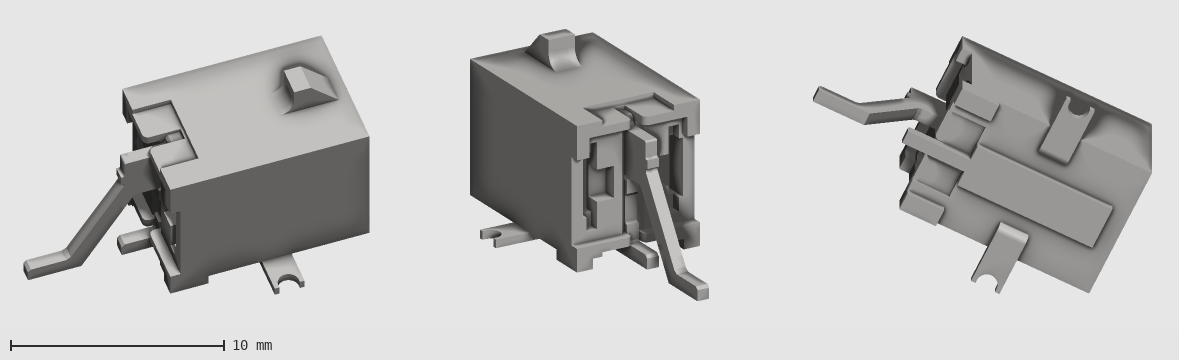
import cadquery as cq
import math


overall_length = 15.9

body_width = 6.68
body_length = 9.9
body_bottom = 0.52
body_top = 7.38

face_setback = 0.51
lower_band_top = 1.2
upper_band_side_bottom = 5.65
upper_band_bottom = 6.65
band_step_x = 2.65

recess_width = 3.88
recess_length = 1.91
recess_floor = 7.08
recess_ceiling = 0.75

terminal_thickness = 0.64
slot_end = 1.81
slot_flare = 0.29

leg_inner_x = 2.46
rail_width = 2.13
rail_back = 8.95

pocket_inner_x = recess_width / 2
pocket_outer_x = 2.51
pocket_bottom = 1.72
pocket_top = 6.12
pocket_depth = 0.57
clip_slot_bottom = 2.43
clip_slot_top = 5.4
clip_slot_depth = 1.0
side_slot_inner_x = 2.37
side_slot_outer_x = 2.72
side_slot_depth = 1.27
notch_inner_x = 1.02
notch_bottom = 3.1
notch_top = 4.74
notch_depth = 0.81

tab_thickness = 0.43
tab_span = 10.1
tab_tip_x = tab_span / 2
tab_center_y = 5.33
tab_length = 1.48
tab_upright_top = 1.27
tab_bend_radius = 0.4
tab_notch_radius = 0.51
tab_notch_center_inset = 0.16

actuator_width = 1.43
actuator_back = 9.32
actuator_crest_back = 7.92
actuator_crest_front = 7.09
actuator_top = 8.76
actuator_fillet = 0.73

shoulder_top = 6.88
shoulder_back = 1.73
shoulder_front = 1.2
shoulder_step_y = 1.05
shoulder_bevel = 0.15
arm_top = 6.4
arm_bottom = 4.05
nose_y = -1.2
nose_radius = 0.1
bump_y = -1.37
bump_top = 5.5
bump_bottom = 5.07
bump_fillet = 0.1
leg_start_y = -1.27
leg_start_z = 4.79
neck_y = -1.22
neck_z = 4.95
leg_end_y = -3.86
leg_end_z = 0.83
foot_start_y = -4.09
heel_y = -3.34
under_arm_y = -0.59
under_leg_y = -0.8
under_leg_z = 3.91
upper_tip = body_length - overall_length

post_top = 3.85
relief_y = 0.68
relief_top = 3.18
relief_top_bevel = 0.17
relief_bottom = 1.62
relief_fillet = 0.11
post_foot_bevel = 0.1
lower_tip = -1.34

foot_height = 0.7
foot_chamfer = 0.15

arc_middle = 1 - math.sqrt(0.5)


def box(x0, x1, y0, y1, z0, z1):
    return cq.Workplane("XY").box(x1 - x0, y1 - y0, z1 - z0, centered=False).translate((x0, y0, z0))


def centered_box(width, y0, y1, z0, z1):
    return box(-width / 2, width / 2, y0, y1, z0, z1)


def extrude_across(profile, width):
    """Extrude a closed YZ profile by width, centered on x = 0."""
    return profile.extrude(width / 2, both=True)


def both_sides(solid):
    return solid.union(solid.mirror("YZ"))


def make_housing():
    housing = centered_box(body_width, 0, body_length, body_bottom, body_top)
    legs = box(leg_inner_x, body_width / 2, 0, recess_length, 0, body_bottom)
    rail = centered_box(rail_width, recess_length, rail_back, 0, body_bottom)
    housing = housing.union(both_sides(legs)).union(rail)

    housing = housing.cut(centered_box(body_width, 0, face_setback, lower_band_top, upper_band_side_bottom))
    housing = housing.cut(centered_box(2 * band_step_x, 0, face_setback, lower_band_top, upper_band_bottom))
    housing = housing.cut(centered_box(recess_width, 0, recess_length, recess_floor, body_top))
    return housing.cut(centered_box(recess_width, 0, recess_length, body_bottom, recess_ceiling))


def make_slot():
    """Slot with rounded edges at the two bands and bevelled edges at the set-back face."""
    half = terminal_thickness / 2
    mouth = half + slot_flare
    mid = half + slot_flare * arc_middle
    arc_y = slot_flare * arc_middle
    rounded = (
        cq.Workplane("XY", origin=(0, 0, recess_ceiling))
        .moveTo(-mouth, 0)
        .threePointArc((-mid, arc_y), (-half, slot_flare))
        .lineTo(-half, slot_end)
        .lineTo(half, slot_end)
        .lineTo(half, slot_flare)
        .threePointArc((mid, arc_y), (mouth, 0))
        .close()
        .extrude(recess_floor - recess_ceiling)
    )
    bevel = (
        cq.Workplane("XY", origin=(0, 0, lower_band_top))
        .polyline([(-mouth, face_setback), (-half, face_setback + slot_flare),
                   (half, face_setback + slot_flare), (mouth, face_setback)])
        .close()
        .extrude(upper_band_bottom - lower_band_top)
    )
    return rounded.union(bevel)


def make_pockets():
    def pocket(x0, x1, depth, z0, z1):
        return box(x0, x1, face_setback, face_setback + depth, z0, z1)

    pockets = pocket(pocket_inner_x, pocket_outer_x, pocket_depth, pocket_bottom, pocket_top)
    pockets = pockets.union(
        pocket(pocket_inner_x, side_slot_inner_x, clip_slot_depth, clip_slot_bottom, clip_slot_top))
    pockets = pockets.union(
        pocket(side_slot_inner_x, side_slot_outer_x, side_slot_depth, clip_slot_bottom, clip_slot_top))
    pockets = pockets.union(pocket(notch_inner_x, pocket_inner_x, notch_depth, notch_bottom, notch_top))
    return both_sides(pockets)


def make_tabs():
    y0 = tab_center_y - tab_length / 2
    y1 = tab_center_y + tab_length / 2
    upright = box(pocket_inner_x, pocket_inner_x + tab_thickness, y0, y1, 0, tab_upright_top)
    tab = box(pocket_inner_x, tab_tip_x, y0, y1, 0, tab_thickness).union(upright)
    tab = tab.edges("|Y and <X and <Z").fillet(tab_bend_radius)
    notch_x = tab_tip_x - tab_notch_center_inset
    notch = cq.Workplane("XY").center(notch_x, tab_center_y).circle(tab_notch_radius).extrude(tab_thickness)
    notch = notch.union(box(notch_x, tab_tip_x, tab_center_y - tab_notch_radius,
                            tab_center_y + tab_notch_radius, 0, tab_thickness))
    return both_sides(tab.cut(notch))


def make_actuator():
    arc_offset = actuator_fillet * arc_middle
    profile = (
        cq.Workplane("YZ")
        .moveTo(actuator_back, body_top)
        .lineTo(actuator_crest_back, actuator_top)
        .lineTo(actuator_crest_front, actuator_top)
        .lineTo(actuator_crest_front, body_top + actuator_fillet)
        .threePointArc(
            (actuator_crest_front - arc_offset, body_top + arc_offset),
            (actuator_crest_front - actuator_fillet, body_top),
        )
        .close()
    )
    return extrude_across(profile, actuator_width)


def draw_foot(profile, tip):
    """Continue a profile along a foot's top, over its chamfered tip and down to the solder plane."""
    return (
        profile
        .lineTo(tip + foot_chamfer, foot_height)
        .lineTo(tip, foot_height - foot_chamfer)
        .lineTo(tip, 0)
    )


def make_upper_terminal():
    """Flat arm that leaves the slot and slopes down to a foot in front of the body."""
    nose_offset = nose_radius * arc_middle
    bump_offset = bump_fillet * arc_middle
    profile = (
        cq.Workplane("YZ")
        .moveTo(slot_end, arm_bottom)
        .lineTo(slot_end, shoulder_top - (slot_end - shoulder_back))
        .lineTo(shoulder_back, shoulder_top)
        .lineTo(shoulder_front, shoulder_top)
        .lineTo(shoulder_step_y, shoulder_top - shoulder_bevel)
        .lineTo(shoulder_step_y, arm_top + shoulder_bevel)
        .lineTo(shoulder_step_y - shoulder_bevel, arm_top)
        .lineTo(nose_y + nose_radius, arm_top)
        .threePointArc((nose_y + nose_offset, arm_top - nose_offset), (nose_y, arm_top - nose_radius))
        .lineTo(nose_y, bump_top + bump_fillet)
        .threePointArc((nose_y - bump_offset, bump_top + bump_offset), (nose_y - bump_fillet, bump_top))
        .lineTo(bump_y, bump_top)
        .lineTo(bump_y, bump_bottom)
        .threePointArc((neck_y, neck_z), (leg_start_y, leg_start_z))
        .lineTo(leg_end_y, leg_end_z)
        .lineTo(foot_start_y, foot_height)
    )
    profile = (
        draw_foot(profile, upper_tip)
        .lineTo(heel_y, 0)
        .lineTo(under_leg_y, under_leg_z)
        .lineTo(under_arm_y, arm_bottom)
        .close()
    )
    return extrude_across(profile, terminal_thickness)


def make_lower_terminal():
    """Upright post in the slot with a foot that runs out under the lower band."""
    relief_offset = relief_fillet * arc_middle
    profile = (
        cq.Workplane("YZ")
        .moveTo(slot_end, post_top)
        .lineTo(face_setback, post_top)
        .lineTo(face_setback, relief_top)
        .lineTo(relief_y, relief_top - relief_top_bevel)
        .lineTo(relief_y, relief_bottom + relief_fillet)
        .threePointArc(
            (relief_y - relief_offset, relief_bottom + relief_offset),
            (relief_y - relief_fillet, relief_bottom),
        )
        .lineTo(face_setback, relief_bottom)
        .lineTo(face_setback, foot_height + post_foot_bevel)
        .lineTo(face_setback - post_foot_bevel, foot_height)
    )
    profile = (
        draw_foot(profile, lower_tip)
        .lineTo(recess_length, 0)
        .lineTo(recess_length, foot_height)
        .lineTo(slot_end, foot_height)
        .close()
    )
    return extrude_across(profile, terminal_thickness)


result = (
    make_housing()
    .cut(make_slot())
    .cut(make_pockets())
    .union(make_tabs())
    .union(make_actuator())
    .union(make_upper_terminal())
    .union(make_lower_terminal())
)